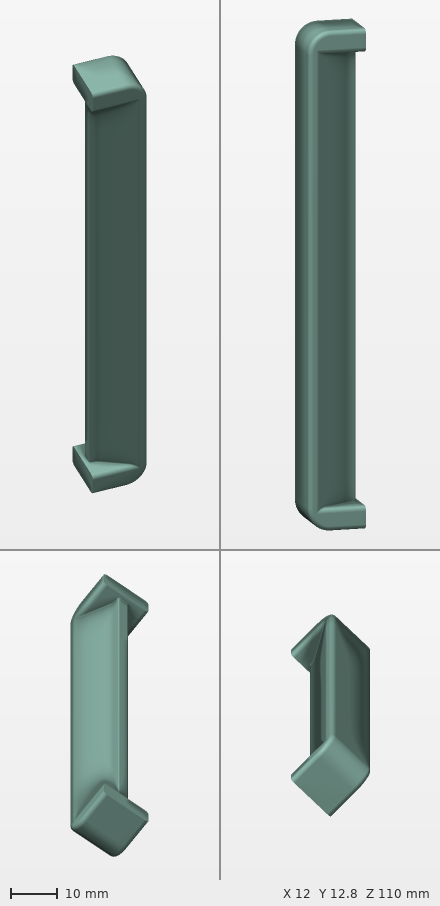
import cadquery as cq

length = 110.0
width = 12.0
depth = 12.8
leg_thickness = 5.1
bend_radius = 5.0
edge_radius = 1.05

taper_start = 2.0
shoulder_radius = 1.2
rib_half_width = 1.3
taper_end = 2.4
valley_radius = 4.0
rib_recess = 1.0
rib_edge_radius = 0.3
root_radius = 0.28

half_width = width / 2
half_length = length / 2
back_y = depth / 2
tip_y = -depth / 2


def make_envelope():
    """Outer block with bent back corners and softened outer edges."""
    block = cq.Workplane("XY").box(width, depth, length)
    block = block.edges("|X and >Y").fillet(bend_radius)
    return block.faces(">Y").edges("|Z").fillet(edge_radius)


def make_grip():
    """Tapered grip section extruded over the full length."""
    taper_start_y = back_y - taper_start
    taper_end_y = tip_y + taper_end
    rib_y = tip_y + rib_recess
    right_side = [
        (half_width, back_y),
        (half_width, taper_start_y),
        (rib_half_width, taper_end_y),
        (rib_half_width, rib_y),
    ]
    left_side = [(-x, y) for x, y in reversed(right_side)]
    grip = (
        cq.Workplane("XY")
        .workplane(offset=-half_length)
        .polyline(right_side + left_side)
        .close()
        .extrude(length)
    )
    corner_radii = [
        (half_width, taper_start_y, shoulder_radius),
        (rib_half_width, taper_end_y, valley_radius),
        (rib_half_width, rib_y, rib_edge_radius),
    ]
    for x, y, radius in corner_radii:
        for side in (-1, 1):
            corner = cq.selectors.NearestToPointSelector((side * x, y, 0))
            grip = grip.edges("|Z").edges(corner).fillet(radius)
    return grip


def make_leg(end):
    """Rounded rectangular leg at the top (end = 1) or bottom (end = -1)."""
    center_z = end * (half_length - leg_thickness / 2)
    leg = cq.Workplane("XY").box(width, depth, leg_thickness)
    return leg.edges("|Y").fillet(edge_radius).translate((0, 0, center_z))


grip_length = length - leg_thickness
grip_limits = cq.Workplane("XY").box(width, depth, grip_length)
body = make_grip().intersect(grip_limits)
for end in (-1, 1):
    body = body.union(make_leg(end))
handle = body.intersect(make_envelope())

for end in (-1, 1):
    rib_root = (0, tip_y + rib_recess, end * (half_length - leg_thickness))
    root_edge = cq.selectors.NearestToPointSelector(rib_root)
    handle = handle.edges("|X").edges(root_edge).fillet(root_radius)
result = handle